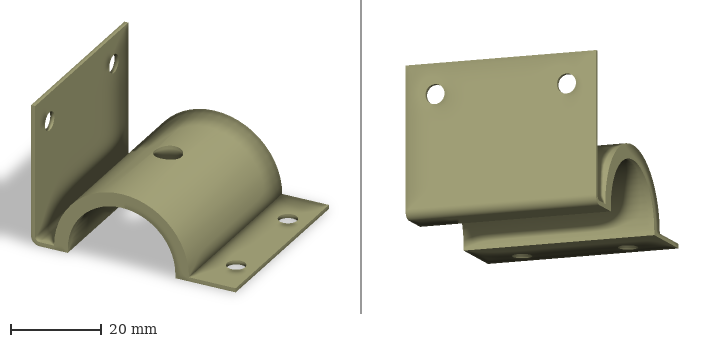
import cadquery as cq

overall_length = 50.6
depth = 45.0
overall_height = 34.5
sheet_thickness = 1.0
bend_outer_radius = 2.0
saddle_outer_radius = 16.7
saddle_inner_radius = 13.3
saddle_center_offset = 22.35
saddle_hole_diameter = 6.65
mounting_hole_diameter = 4.5
foot_hole_spacing = 25.0
foot_hole_edge_distance = 5.0
upright_hole_spacing = 31.0
upright_hole_edge_distance = 7.0

bend_inner_radius = bend_outer_radius - sheet_thickness
bracket_end = saddle_center_offset - saddle_inner_radius
foot_start = saddle_center_offset + saddle_inner_radius
foot_length = overall_length - foot_start
foot_hole_x = overall_length - foot_hole_edge_distance
upright_hole_z = overall_height - upright_hole_edge_distance


def extrude_along_depth(profile):
    """Extrude an XZ profile symmetrically about the Y = 0 plane."""
    return profile.extrude(depth / 2, both=True)


def make_angle_bracket():
    """Bent sheet: an upright with two holes and a short base under the saddle."""
    profile = (
        cq.Workplane("XZ")
        .moveTo(bend_outer_radius, 0)
        .lineTo(bracket_end, 0)
        .lineTo(bracket_end, sheet_thickness)
        .lineTo(bend_outer_radius, sheet_thickness)
        .radiusArc((sheet_thickness, bend_outer_radius), bend_inner_radius)
        .lineTo(sheet_thickness, overall_height)
        .lineTo(0, overall_height)
        .lineTo(0, bend_outer_radius)
        .radiusArc((bend_outer_radius, 0), -bend_outer_radius)
        .close()
    )
    holes = (
        cq.Workplane("YZ")
        .pushPoints([(side * upright_hole_spacing / 2, upright_hole_z) for side in (-1, 1)])
        .circle(mounting_hole_diameter / 2)
        .extrude(sheet_thickness)
    )
    return extrude_along_depth(profile).cut(holes)


def make_saddle():
    """Half tube standing on the two sheets, with a hole through its crown."""
    outer_left = saddle_center_offset - saddle_outer_radius
    outer_right = saddle_center_offset + saddle_outer_radius
    profile = (
        cq.Workplane("XZ")
        .moveTo(outer_left, sheet_thickness)
        .threePointArc(
            (saddle_center_offset, sheet_thickness + saddle_outer_radius),
            (outer_right, sheet_thickness),
        )
        .lineTo(foot_start, sheet_thickness)
        .threePointArc(
            (saddle_center_offset, sheet_thickness + saddle_inner_radius),
            (bracket_end, sheet_thickness),
        )
        .close()
    )
    crown_hole = (
        cq.Workplane("XY", origin=(saddle_center_offset, 0, sheet_thickness))
        .circle(saddle_hole_diameter / 2)
        .extrude(saddle_outer_radius)
    )
    return extrude_along_depth(profile).cut(crown_hole)


def make_foot_plate():
    """Flat sheet under the far edge of the saddle, with two mounting holes."""
    plate = cq.Workplane("XY", origin=(foot_start, 0, 0)).box(
        foot_length, depth, sheet_thickness, centered=(False, True, False)
    )
    holes = (
        cq.Workplane("XY")
        .pushPoints([(foot_hole_x, side * foot_hole_spacing / 2) for side in (-1, 1)])
        .circle(mounting_hole_diameter / 2)
        .extrude(sheet_thickness)
    )
    return plate.cut(holes)


angle_bracket = make_angle_bracket()
saddle = make_saddle()
foot_plate = make_foot_plate()

result = cq.Compound.makeCompound([angle_bracket.val(), saddle.val(), foot_plate.val()])